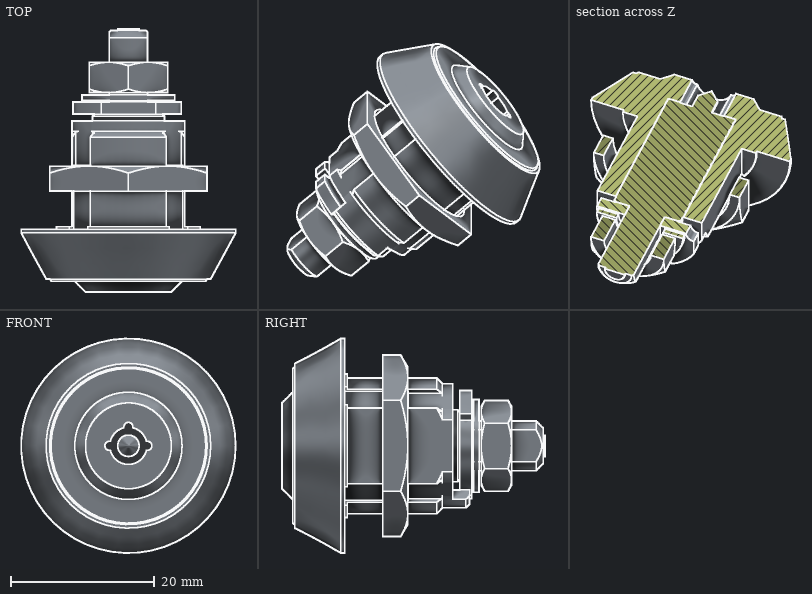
import cadquery as cq
import math


BOSS_FACE_R = 6.0
BOSS_BASE_R = 7.5
BOSS_END = 1.5
PLATE_R = 10.8
PLATE_BASE_R = 11.0
PLATE_END = 1.8
FLANGE_FACE_R = 11.5
FLANGE_R = 15.0
FLANGE_RIM = 8.25
FLANGE_END = 8.8
KEY_R = 2.6
KEY_WING_R = 0.63
KEY_WING_OFFSET = 2.65
KEY_DEPTH = 4.5

PAD_R = 10.05
PAD_END = 9.15
THREAD_R = 9.5
COLLAR_R = 8.7
THREAD_END = 21.65
COLLAR_START = THREAD_END + THREAD_R - COLLAR_R
BARREL_END = 23.9
FLAT_HALF = 7.9
GROOVE_HALF = 1.82
GROOVE_FLOOR = 8.93
DEEP_GROOVE_FLOOR = 8.6

TAB_INNER_R = 7.2
TAB_END = 26.23
TAB_CHAMFER = 0.5
STOP_ANGLE = 31.0

MOUNT_NUT_FLATS = 22.0
MOUNT_NUT_START = 14.1
MOUNT_NUT_END = 17.6
GROOVE_STEP = MOUNT_NUT_END + 0.1

CORE_R = 5.05
CORE_END = 24.85
CORE_CHAMFER = 0.3
PIN_R = 1.5
PIN_TIP = 0.85
PIN_SHOULDER = PIN_TIP + PIN_R
STEM_R = 3.5
STEM_FLAT_HALF = 2.7
STEM_TAPER_START = 35.52
STEM_END = 36.55
STEM_END_R = 2.45
NUB_END = 36.8

DISC_END = 26.55
DISC_R = 8.64
DISC_FLAT = 7.75
DISC_RELIEF_R = 6.9
DISC_NOTCH_R = 1.13

WASHER_R = 6.5
WASHER_START = 26.75
WASHER_END = 27.55
STEM_NUT_FLATS = 11.0
STEM_NUT_START = 27.85
STEM_NUT_END = 32.1

HEX_HALF_ANGLE = 30.0
NUT_CHAMFER_ANGLE = 30.0

REACH = 50.0


def sketch_at(y):
    """Workplane at length y, drawn in X and Z and extruded toward +Y."""
    return cq.Workplane(cq.Plane(origin=(0, y, 0), xDir=(-1, 0, 0), normal=(0, 1, 0)))


def cylinder(radius, start, end):
    return sketch_at(start).circle(radius).extrude(end - start)


def turned(profile):
    """Revolve a closed profile of (radius, length) points about the Y axis."""
    return cq.Workplane("XY").polyline(profile).close().revolve(360, (0, 0), (0, 1))


def block(x_min, x_max, z_min, z_max, start, end):
    size = (x_max - x_min, end - start, z_max - z_min)
    return cq.Workplane("XY").box(*size, centered=False).translate((x_min, start, z_min))


def double_flat(body, half_width, start, end):
    """Trim a body to |x| <= half_width between two lengths."""
    for low, high in ((-REACH, -half_width), (half_width, REACH)):
        body = body.cut(block(low, high, -REACH, REACH, start, end))
    return body


def sector(from_angle, to_angle, start, end):
    """Wedge about the Y axis; angles run from +X toward +Z and span less than 180 degrees."""
    corners = [(0, 0)]
    for angle in (from_angle, (from_angle + to_angle) / 2, to_angle):
        turn = math.radians(angle)
        corners.append((-REACH * math.cos(turn), REACH * math.sin(turn)))
    return sketch_at(start).polyline(corners).close().extrude(end - start)


def hex_nut(across_flats, bore_r, start, end, chamfer_front):
    """Hexagon nut with flats facing +-X, its corners turned down to the across-flats circle."""
    flat_r = across_flats / 2
    corner_r = flat_r / math.cos(math.radians(HEX_HALF_ANGLE))
    drop = (corner_r - flat_r) * math.tan(math.radians(NUT_CHAMFER_ANGLE))
    hexagon = sketch_at(start).polygon(6, 2 * corner_r).extrude(end - start)
    hexagon = hexagon.rotate((0, 0, 0), (0, 1, 0), HEX_HALF_ANGLE)
    profile = [(0, end), (flat_r, end), (corner_r, end - drop)]
    if chamfer_front:
        profile += [(corner_r, start + drop), (flat_r, start), (0, start)]
    else:
        profile += [(corner_r, start), (0, start)]
    return hexagon.intersect(turned(profile)).cut(cylinder(bore_r, start, end))


def housing_blank():
    return turned([
        (0, 0), (BOSS_FACE_R, 0), (BOSS_BASE_R, BOSS_END),
        (PLATE_R, BOSS_END), (PLATE_BASE_R, PLATE_END),
        (FLANGE_FACE_R, PLATE_END), (FLANGE_R, FLANGE_RIM), (FLANGE_R, FLANGE_END),
        (PAD_R, FLANGE_END), (PAD_R, PAD_END),
        (THREAD_R, PAD_END), (THREAD_R, THREAD_END), (COLLAR_R, COLLAR_START),
        (COLLAR_R, BARREL_END), (0, BARREL_END),
    ])


def corner_grooves():
    """Four lengthwise grooves at the diagonals, deeper behind the mounting nut."""
    tool = block(GROOVE_FLOOR, REACH, -GROOVE_HALF, GROOVE_HALF, FLANGE_END, GROOVE_STEP)
    deep = block(DEEP_GROOVE_FLOOR, REACH, -GROOVE_HALF, GROOVE_HALF, GROOVE_STEP, BARREL_END)
    tool = tool.union(deep)
    return [tool.rotate((0, 0, 0), (0, 1, 0), angle) for angle in (45, 135, 225, 315)]


def stop_tab():
    """Arc-shaped finger at the bottom of the collar's rear face."""
    ring = turned([
        (TAB_INNER_R, BARREL_END), (COLLAR_R, BARREL_END), (COLLAR_R, TAB_END - TAB_CHAMFER),
        (COLLAR_R - TAB_CHAMFER, TAB_END), (TAB_INNER_R, TAB_END),
    ])
    return ring.intersect(sector(270 - STOP_ANGLE, 270 + STOP_ANGLE, BARREL_END, TAB_END))


def key_opening():
    """Round opening with wings at the left, the right and the top."""
    opening = cylinder(KEY_R, 0, KEY_DEPTH)
    for x, z in ((-KEY_WING_OFFSET, 0), (KEY_WING_OFFSET, 0), (0, KEY_WING_OFFSET)):
        opening = opening.union(cylinder(KEY_WING_R, 0, KEY_DEPTH).translate((x, 0, z)))
    return opening


def make_housing():
    body = double_flat(housing_blank(), FLAT_HALF, PAD_END, BARREL_END)
    for groove in corner_grooves():
        body = body.cut(groove)
    body = body.union(stop_tab())
    body = body.cut(cylinder(CORE_R, KEY_DEPTH, BARREL_END))
    return body.cut(key_opening())


def make_core():
    barrel = turned([
        (0, PIN_TIP), (PIN_R, PIN_SHOULDER), (PIN_R, KEY_DEPTH), (CORE_R, KEY_DEPTH),
        (CORE_R, CORE_END - CORE_CHAMFER), (CORE_R - CORE_CHAMFER, CORE_END), (0, CORE_END),
    ])
    stem = turned([
        (0, CORE_END), (STEM_R, CORE_END), (STEM_R, STEM_TAPER_START), (STEM_END_R, STEM_END),
        (PIN_R, STEM_END), (PIN_R, NUB_END), (0, NUB_END),
    ])
    return barrel.union(double_flat(stem, STEM_FLAT_HALF, CORE_END, NUB_END))


def make_stop_disc():
    """Round disc with four flats, a side notch and a relief that clears the stop tab."""
    disc = cylinder(DISC_R, CORE_END, DISC_END)
    disc = disc.intersect(block(-DISC_FLAT, DISC_FLAT, -DISC_FLAT, DISC_FLAT, CORE_END, DISC_END))
    relief = sector(270 - STOP_ANGLE, 360 + STOP_ANGLE, CORE_END, DISC_END)
    disc = disc.cut(relief.cut(cylinder(DISC_RELIEF_R, CORE_END, DISC_END)))
    disc = disc.cut(cylinder(DISC_NOTCH_R, CORE_END, DISC_END).translate((-DISC_FLAT, 0, 0)))
    stem_hole = double_flat(cylinder(STEM_R, CORE_END, DISC_END), STEM_FLAT_HALF, CORE_END, DISC_END)
    return disc.cut(stem_hole)


def make_washer():
    return cylinder(WASHER_R, WASHER_START, WASHER_END).cut(cylinder(STEM_R, WASHER_START, WASHER_END))


housing = make_housing()
core = make_core()
mounting_nut = hex_nut(MOUNT_NUT_FLATS, THREAD_R, MOUNT_NUT_START, MOUNT_NUT_END, False)
stop_disc = make_stop_disc()
washer = make_washer()
stem_nut = hex_nut(STEM_NUT_FLATS, STEM_R, STEM_NUT_START, STEM_NUT_END, True)

result = cq.Compound.makeCompound([
    housing.val(),
    core.val(),
    mounting_nut.val(),
    stop_disc.val(),
    washer.val(),
    stem_nut.val(),
])